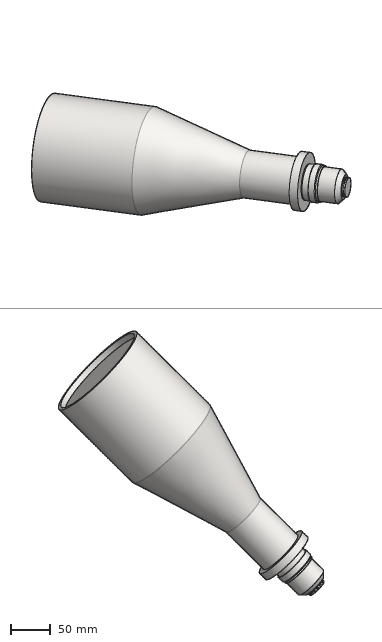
import cadquery as cq
import math

total_length = 395.5
cone_start = 132.5
cone_end = 262.3
flange_start = 330.0
flange_end = 341.0
collar_start = 342.2
band_start = 350.5
band_end = 359.0
collar_end = 362.5
nose_chamfer_start = 385.0
nose_end = 391.3

barrel_diameter = 138.0
barrel_radius = barrel_diameter / 2
neck_radius = 30.5
flange_radius = 37.5
relief_radius = 23.0
collar_radius = 23.5
band_radius = 24.5
nose_radius = 22.0
tip_radius = 12.5
nose_chamfer = nose_end - nose_chamfer_start

rim_width = 4.5
recess_depth = 8.0

notch_count = 14
notch_length = 2.5
notch_depth = 0.8


def make_body():
    """Revolve the stepped bottle-shaped profile about the X axis."""
    profile = [
        (0, 0),
        (0, barrel_radius),
        (cone_start, barrel_radius),
        (cone_end, neck_radius),
        (flange_start, neck_radius),
        (flange_start, flange_radius),
        (flange_end, flange_radius),
        (flange_end, relief_radius),
        (collar_start, relief_radius),
        (collar_start, collar_radius),
        (band_start, collar_radius),
        (band_start, band_radius),
        (band_end, band_radius),
        (band_end + band_radius - collar_radius, collar_radius),
        (collar_end, collar_radius),
        (collar_end, nose_radius),
        (nose_chamfer_start, nose_radius),
        (nose_end, nose_radius - nose_chamfer),
        (nose_end, tip_radius),
        (total_length, tip_radius),
        (total_length, 0),
    ]
    return cq.Workplane("XZ").polyline(profile).close().revolve(360, (0, 0, 0), (1, 0, 0))


def make_recess():
    """Round pocket that leaves a thin rim around the large end."""
    return cq.Workplane("YZ").circle(barrel_radius - rim_width).extrude(recess_depth)


def make_notches():
    """Shallow notches at the root of the tip, as wide as the teeth between them."""
    pitch = 360 / notch_count
    notch_width = 2 * tip_radius * math.sin(math.radians(pitch / 4))
    notch = (
        cq.Workplane("XY")
        .box(notch_length, notch_width, 2 * notch_depth, centered=(False, True, True))
        .translate((nose_end, 0, tip_radius))
    )
    notches = cq.Workplane("XY")
    for index in range(notch_count):
        notches = notches.add(notch.rotate((0, 0, 0), (1, 0, 0), 90 + index * pitch))
    return notches.combine()


result = make_body().cut(make_recess(), clean=False).cut(make_notches(), clean=False)